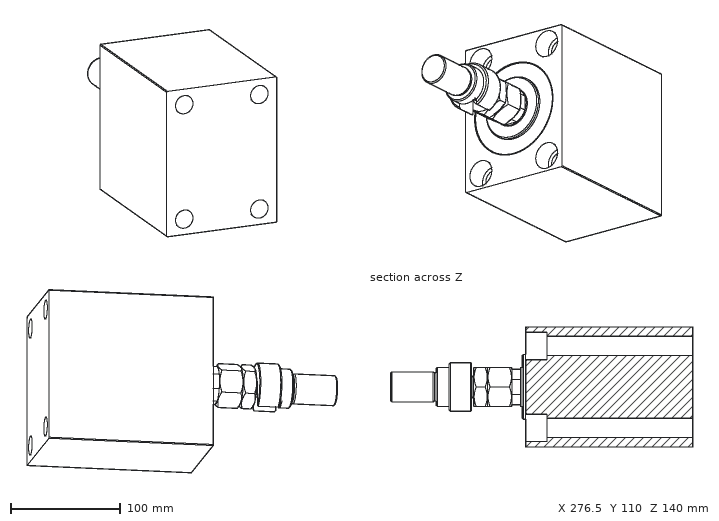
import cadquery as cq
import math


BLOCK_LENGTH = 153.0
BLOCK_WIDTH = 110.0
BLOCK_HEIGHT = 140.0
BLOCK_EDGE_CHAMFER = 0.8
BOLT_SPACING_Y = 75.0
BOLT_SPACING_Z = 110.0
BOLT_HOLE_DIAMETER = 17.5
COUNTERBORE_DIAMETER = 25.0
COUNTERBORE_DEPTH = 19.4

GLAND_DIAMETER = 88.0
GLAND_DEPTH = 27.6
BORE_MOUTH_CHAMFER = 0.7
COLLAR_DIAMETER = 59.5
COLLAR_HEIGHT = 3.3
COLLAR_CHAMFER = 1.0

ROD_DIAMETER = 36.0
ROD_LAND_LENGTH = 1.7
FLATS_LENGTH = 7.7
FLATS_DIAMETER = 35.5
ACROSS_FLATS = 32.5

HEX_ACROSS_FLATS = 36.0
HEX_CORNER_RADIUS = HEX_ACROSS_FLATS / math.sqrt(3)
HEX_FACE_RADIUS = 17.5
HEX_CHAMFER_LENGTH = 2.2
LONG_HEX_LENGTH = 22.0
SHORT_HEX_LENGTH = 12.7
NECK_RADIUS = 8.8
NECK_FLARE_RADIUS = 11.5
NECK_FLARE_LENGTH = 1.5

SOCKET_GAP = 2.0
CAP_DIAMETER = 44.5
CAP_LENGTH = 20.7
CAP_FRONT_CHAMFER = 1.5
CAP_BACK_CHAMFER = 0.8
HUB_DIAMETER = 36.0
HUB_LENGTH = 11.5
HUB_CHAMFER = 1.0
SHANK_DIAMETER = 27.6
SHANK_CHAMFER = 1.0
RELIEF_RADIUS = 13.0
RELIEF_LENGTH = 3.0
RELIEF_TAPER_LENGTH = 1.5
SLOT_WIDTH = 19.0
SLOT_HUB_OVERLAP = 2.0
OVERALL_LENGTH = 276.5

collar_face_x = -COLLAR_HEIGHT
flats_start_x = collar_face_x - ROD_LAND_LENGTH
rod_end_x = flats_start_x - FLATS_LENGTH
hex_joint_x = rod_end_x - LONG_HEX_LENGTH
hex_front_x = hex_joint_x - SHORT_HEX_LENGTH
cap_back_x = hex_front_x - SOCKET_GAP
cap_front_x = cap_back_x - CAP_LENGTH
slot_end_x = cap_front_x - SLOT_HUB_OVERLAP
hub_front_x = cap_front_x - HUB_LENGTH
relief_front_x = hub_front_x - RELIEF_LENGTH
shank_tip_x = BLOCK_LENGTH - OVERALL_LENGTH


def cylinder_x(diameter, start_x, end_x):
    """Cylinder on the X axis between two stations."""
    return cq.Workplane("YZ", origin=(start_x, 0, 0)).circle(diameter / 2).extrude(end_x - start_x)


def revolved_x(profile):
    """Solid of revolution about X from (x, radius) points."""
    outline = [(profile[0][0], 0), *profile, (profile[-1][0], 0)]
    return cq.Workplane("XY").polyline(outline).close().revolve(360, (0, 0, 0), (1, 0, 0))


def make_block():
    block = cq.Workplane("XY").box(BLOCK_LENGTH, BLOCK_WIDTH, BLOCK_HEIGHT)
    block = block.translate((BLOCK_LENGTH / 2, 0, 0)).edges("|X").chamfer(BLOCK_EDGE_CHAMFER)

    bore_radius = GLAND_DIAMETER / 2
    bore = revolved_x([
        (0, bore_radius + BORE_MOUTH_CHAMFER),
        (BORE_MOUTH_CHAMFER, bore_radius),
        (GLAND_DEPTH, bore_radius),
    ])
    block = block.cut(bore)

    for side_y in (-1, 1):
        for side_z in (-1, 1):
            position = (0, side_y * BOLT_SPACING_Y / 2, side_z * BOLT_SPACING_Z / 2)
            block = block.cut(cylinder_x(BOLT_HOLE_DIAMETER, 0, BLOCK_LENGTH).translate(position))
            block = block.cut(cylinder_x(COUNTERBORE_DIAMETER, 0, COUNTERBORE_DEPTH).translate(position))
    return block


def make_gland():
    collar = cylinder_x(COLLAR_DIAMETER, collar_face_x, 0).faces("<X").chamfer(COLLAR_CHAMFER)
    gland = cylinder_x(GLAND_DIAMETER, 0, GLAND_DEPTH).union(collar)
    return gland.cut(cylinder_x(ROD_DIAMETER, collar_face_x, GLAND_DEPTH))


def make_rod():
    shaft = cylinder_x(ROD_DIAMETER, flats_start_x, GLAND_DEPTH)
    flats = cylinder_x(FLATS_DIAMETER, rod_end_x, flats_start_x)
    square = cq.Workplane("YZ", origin=(rod_end_x, 0, 0)).rect(ACROSS_FLATS, ACROSS_FLATS)
    return shaft.union(flats.intersect(square.extrude(FLATS_LENGTH)))


def make_hexagon(start_x, length):
    """Hexagon with corners at +Z and -Z, its corners chamfered at both ends."""
    corners = []
    for index in range(6):
        angle = math.radians(90 + 60 * index)
        corners.append((HEX_CORNER_RADIUS * math.cos(angle), HEX_CORNER_RADIUS * math.sin(angle)))
    prism = cq.Workplane("YZ", origin=(start_x, 0, 0)).polyline(corners).close().extrude(length)
    envelope = revolved_x([
        (start_x, HEX_FACE_RADIUS),
        (start_x + HEX_CHAMFER_LENGTH, HEX_CORNER_RADIUS),
        (start_x + length - HEX_CHAMFER_LENGTH, HEX_CORNER_RADIUS),
        (start_x + length, HEX_FACE_RADIUS),
    ])
    return prism.intersect(envelope)


def make_coupling_stud():
    neck = revolved_x([
        (slot_end_x, NECK_RADIUS),
        (hex_front_x - NECK_FLARE_LENGTH, NECK_RADIUS),
        (hex_front_x, NECK_FLARE_RADIUS),
    ])
    short_hex = make_hexagon(hex_front_x, SHORT_HEX_LENGTH)
    long_hex = make_hexagon(hex_joint_x, LONG_HEX_LENGTH)
    return neck.union(short_hex).union(long_hex)


def make_coupling_socket():
    shank_radius = SHANK_DIAMETER / 2
    hub_radius = HUB_DIAMETER / 2
    cap_radius = CAP_DIAMETER / 2
    body = revolved_x([
        (shank_tip_x, shank_radius - SHANK_CHAMFER),
        (shank_tip_x + SHANK_CHAMFER, shank_radius),
        (relief_front_x, shank_radius),
        (relief_front_x + RELIEF_TAPER_LENGTH, RELIEF_RADIUS),
        (hub_front_x, RELIEF_RADIUS),
        (hub_front_x, hub_radius - HUB_CHAMFER),
        (hub_front_x + HUB_CHAMFER, hub_radius),
        (cap_front_x, hub_radius),
        (cap_front_x, cap_radius - CAP_FRONT_CHAMFER),
        (cap_front_x + CAP_FRONT_CHAMFER, cap_radius),
        (cap_back_x - CAP_BACK_CHAMFER, cap_radius),
        (cap_back_x, cap_radius - CAP_BACK_CHAMFER),
    ])

    slot_length = cap_back_x - slot_end_x
    slot_sides = cq.Workplane("XY").box(slot_length, SLOT_WIDTH, cap_radius)
    slot_sides = slot_sides.translate((slot_end_x + slot_length / 2, 0, -cap_radius / 2))
    slot = slot_sides.union(cylinder_x(SLOT_WIDTH, slot_end_x, cap_back_x))
    return body.cut(slot)


block = make_block()
gland = make_gland()
rod = make_rod()
coupling_stud = make_coupling_stud()
coupling_socket = make_coupling_socket()

result = cq.Compound.makeCompound([
    block.val(),
    gland.val(),
    rod.val(),
    coupling_stud.val(),
    coupling_socket.val(),
])